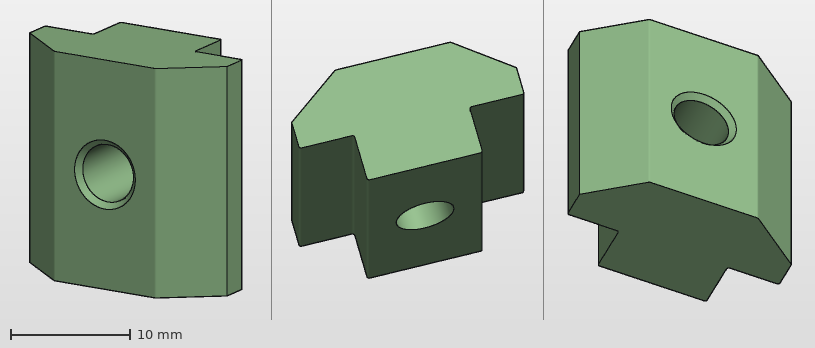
import cadquery as cq

length = 20.0
flange_width = 19.5
neck_width = 10.0
base_width = 10.0
total_depth = 10.5
neck_depth = 4.3
slope_depth = 3.7
edge_radius = 0.2
base_radius = 0.3
hole_diameter = 5.0
countersink_diameter = 6.0

shoulder_y = total_depth - neck_depth


def make_body():
    """Extrude the T profile and round its lengthwise edges."""
    half_profile = [
        (base_width / 2, 0),
        (flange_width / 2, slope_depth),
        (flange_width / 2, shoulder_y),
        (neck_width / 2, shoulder_y),
        (neck_width / 2, total_depth),
    ]
    mirrored = [(-x, y) for x, y in reversed(half_profile)]
    body = (
        cq.Workplane("XY")
        .polyline(half_profile + mirrored)
        .close()
        .extrude(length / 2, both=True)
    )

    rounded_corners = [
        ((base_width / 2, 0), base_radius),
        ((flange_width / 2, shoulder_y), edge_radius),
        ((neck_width / 2, shoulder_y), edge_radius),
        ((neck_width / 2, total_depth), edge_radius),
    ]
    for (x, y), radius in rounded_corners:
        for side in (-1, 1):
            corner = cq.selectors.NearestToPointSelector((side * x, y, 0))
            body = body.edges("|Z").edges(corner).fillet(radius)
    return body


def make_hole_cutter():
    """Through hole along Y with a 45 degree countersink on the base face."""
    hole_radius = hole_diameter / 2
    countersink_radius = countersink_diameter / 2
    countersink_depth = countersink_radius - hole_radius
    return (
        cq.Workplane("XY")
        .moveTo(0, 0)
        .lineTo(countersink_radius, 0)
        .lineTo(hole_radius, countersink_depth)
        .lineTo(hole_radius, total_depth)
        .lineTo(0, total_depth)
        .close()
        .revolve(360, (0, 0, 0), (0, 1, 0))
    )


result = make_body().cut(make_hole_cutter())